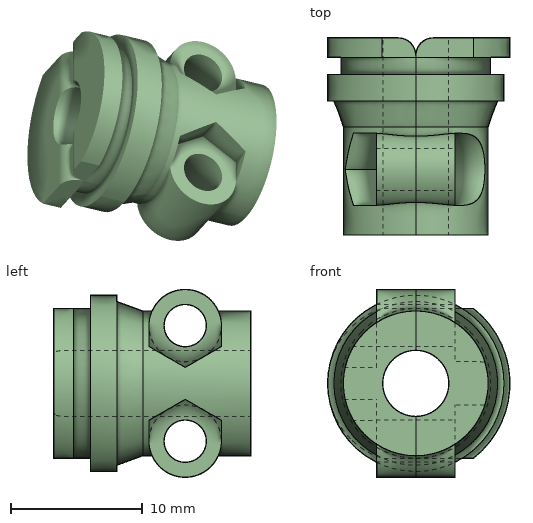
import cadquery as cq

LENGTH = 15.0
CONE_START = 8.22
COLLAR_START = 10.18
COLLAR_END = 12.21
REAR_FLANGE_THICKNESS = 1.5
REAR_FLANGE_START = LENGTH - REAR_FLANGE_THICKNESS

BORE_RADIUS = 2.5
BARREL_RADIUS = 5.5
CONE_END_RADIUS = 6.22
COLLAR_RADIUS = 6.7
GROOVE_RADIUS = 5.7

FLANGE_HALF_HEIGHT = GROOVE_RADIUS
FLANGE_LEFT_REACH = COLLAR_RADIUS
FLANGE_LEFT_FLAT = 2.56
FLANGE_RIGHT_REACH = 7.17
FLANGE_RIGHT_FLAT = 4.38
REAR_EDGE_RADIUS = 1.35

SCREW_Y = 5.0
SCREW_Z = 4.4
SCREW_HOLE_DIAMETER = 3.2
LUG_RADIUS = BARREL_RADIUS / 2
LUG_HALF_WIDTH = 2.98
NUT_WIDTH_ACROSS_FLATS = 2 * LUG_RADIUS
HEX_SIDES = 6

LEFT_SIDE = -1
RIGHT_SIDE = 1
BLANK_SIZE = 2 * LENGTH


def make_turned_body():
    profile = [
        (0, 0),
        (BARREL_RADIUS, 0),
        (BARREL_RADIUS, CONE_START),
        (CONE_END_RADIUS, COLLAR_START),
        (COLLAR_RADIUS, COLLAR_START),
        (COLLAR_RADIUS, COLLAR_END),
        (GROOVE_RADIUS, COLLAR_END),
        (GROOVE_RADIUS, REAR_FLANGE_START),
        (0, REAR_FLANGE_START),
    ]
    return cq.Workplane("XY").polyline(profile).close().revolve(360, (0, 0), (0, 1))


def make_rear_flange():
    return (
        cq.Workplane("XZ", origin=(0, LENGTH, 0))
        .moveTo(-FLANGE_LEFT_FLAT, FLANGE_HALF_HEIGHT)
        .lineTo(FLANGE_RIGHT_FLAT, FLANGE_HALF_HEIGHT)
        .threePointArc((FLANGE_RIGHT_REACH, 0), (FLANGE_RIGHT_FLAT, -FLANGE_HALF_HEIGHT))
        .lineTo(-FLANGE_LEFT_FLAT, -FLANGE_HALF_HEIGHT)
        .threePointArc((-FLANGE_LEFT_REACH, 0), (-FLANGE_LEFT_FLAT, FLANGE_HALF_HEIGHT))
        .close()
        .extrude(REAR_FLANGE_THICKNESS)
    )


def screw_plane(x, level):
    """Workplane across a screw axis; level is 1 for the upper screw, -1 for the lower."""
    return cq.Workplane("YZ", origin=(x, SCREW_Y, level * SCREW_Z))


def make_nut_pocket(level):
    """Hexagonal pocket beside the lug, with one corner toward the bore."""
    plane = screw_plane(-LUG_HALF_WIDTH, level)
    return plane.polygon(HEX_SIDES, NUT_WIDTH_ACROSS_FLATS, circumscribed=True).extrude(-BLANK_SIZE)


def make_head_pocket(level):
    return screw_plane(LUG_HALF_WIDTH, level).circle(LUG_RADIUS).extrude(BLANK_SIZE)


def make_lug(level):
    return screw_plane(-LUG_HALF_WIDTH, level).circle(LUG_RADIUS).extrude(2 * LUG_HALF_WIDTH)


def make_screw_hole(level):
    return screw_plane(0, level).circle(SCREW_HOLE_DIAMETER / 2).extrude(BLANK_SIZE, both=True)


def make_clamp():
    """Whole clamp shape, before it is split at the joint."""
    clamp = make_turned_body().union(make_rear_flange())
    for level in (1, -1):
        clamp = clamp.cut(make_nut_pocket(level)).cut(make_head_pocket(level))
        clamp = clamp.union(make_lug(level)).cut(make_screw_hole(level))
    bore = cq.Workplane("XZ").circle(BORE_RADIUS).extrude(-LENGTH)
    return clamp.cut(bore)


def make_half_space(side):
    """Block on one side of the joint, with its rear edge at the joint rounded."""
    block = cq.Workplane("XY").box(BLANK_SIZE, LENGTH, BLANK_SIZE)
    block = block.translate((side * BLANK_SIZE / 2, LENGTH / 2, 0))
    joint_face = "<X" if side == RIGHT_SIDE else ">X"
    return block.faces(joint_face).edges(">Y").fillet(REAR_EDGE_RADIUS)


def make_clamp_half(side):
    return make_clamp().intersect(make_half_space(side))


nut_half = make_clamp_half(LEFT_SIDE)
screw_head_half = make_clamp_half(RIGHT_SIDE)

result = cq.Compound.makeCompound([nut_half.val(), screw_head_half.val()])